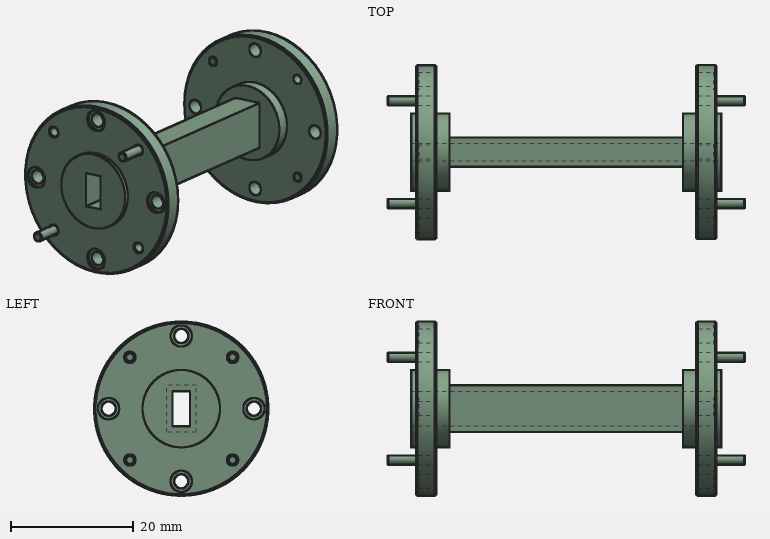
import cadquery as cq
import math

INCH = 25.4
guide_length = 2 * INCH
bore_y, bore_z = 2.845, 5.69
wall = 1.0
tube_y = bore_y + 2 * wall
tube_z = bore_z + 2 * wall

flange_dia = 1.125 * INCH
flange_thickness = 3.3
flange_chamfer = 0.25
hub_dia = 0.5 * INCH
hub_front = 0.8
hub_back = 2.2
mating_x = guide_length / 2
flange_outer_x = mating_x - hub_front
flange_inner_x = flange_outer_x - flange_thickness

bolt_circle_dia = 0.9375 * INCH
screw_hole_dia = 2.3
screw_recess_dia = 3.5
screw_recess_depth = 0.45
recess_floor_x = flange_outer_x - screw_recess_depth
screw_angles = (0, 90, 180, 270)
dowel_hole_chamfer = 0.15

pin_dia = 1.56
pin_tip_span = 58.55
pin_tip_x = pin_tip_span / 2
pin_chamfer = 0.13
pin_angles = (45, 225)
dowel_hole_angles = (45, 135, 225, 315)


def cylinder(dia, x_start, x_end, y=0, z=0):
    """Round bar along X from x_start to x_end."""
    return cq.Workplane("YZ", origin=(x_start, y, z)).circle(dia / 2).extrude(x_end - x_start)


def on_bolt_circle(angle):
    """Y and Z of a place on the bolt circle."""
    radius = bolt_circle_dia / 2
    return radius * math.cos(math.radians(angle)), radius * math.sin(math.radians(angle))


def dowel_hole_cutter(y, z):
    """Through hole that fits a pin, with a conical lead-in at the outer face."""
    hole = cylinder(pin_dia, flange_inner_x, flange_outer_x, y, z)
    rim_radius = pin_dia / 2 + dowel_hole_chamfer
    cone = cq.Solid.makeCone(
        pin_dia / 2,
        rim_radius,
        dowel_hole_chamfer,
        pnt=cq.Vector(flange_outer_x - dowel_hole_chamfer, y, z),
        dir=cq.Vector(1, 0, 0),
    )
    return hole.union(cq.Workplane(cone))


def make_flange():
    """Flange at the +X end: chamfered disc, hub and all of its holes."""
    disc = cylinder(flange_dia, flange_inner_x, flange_outer_x).edges().chamfer(flange_chamfer)
    flange = disc.union(cylinder(hub_dia, flange_inner_x - hub_back, mating_x))
    for angle in screw_angles:
        y, z = on_bolt_circle(angle)
        flange = flange.cut(cylinder(screw_hole_dia, flange_inner_x, flange_outer_x, y, z))
        flange = flange.cut(cylinder(screw_recess_dia, recess_floor_x, flange_outer_x, y, z))
    for angle in dowel_hole_angles:
        flange = flange.cut(dowel_hole_cutter(*on_bolt_circle(angle)))
    return flange


def make_pins():
    """The two dowel pins of the +X flange."""
    pins = []
    for angle in pin_angles:
        y, z = on_bolt_circle(angle)
        pin = cylinder(pin_dia, flange_inner_x, pin_tip_x, y, z)
        pins.append(pin.edges().chamfer(pin_chamfer))
    return pins


def to_other_end(body):
    """Copy of a +X end body, turned half a turn about Z."""
    return body.rotate((0, 0, 0), (0, 0, 1), 180)


flange = make_flange()
tube = cq.Workplane("XY").box(2 * flange_inner_x, tube_y, tube_z)
bore = cq.Workplane("XY").box(guide_length, bore_y, bore_z)
waveguide = tube.union(flange).union(to_other_end(flange)).cut(bore)

end_pins = make_pins()
pins = end_pins + [to_other_end(pin) for pin in end_pins]

result = cq.Compound.makeCompound([waveguide.val(), *[pin.val() for pin in pins]])